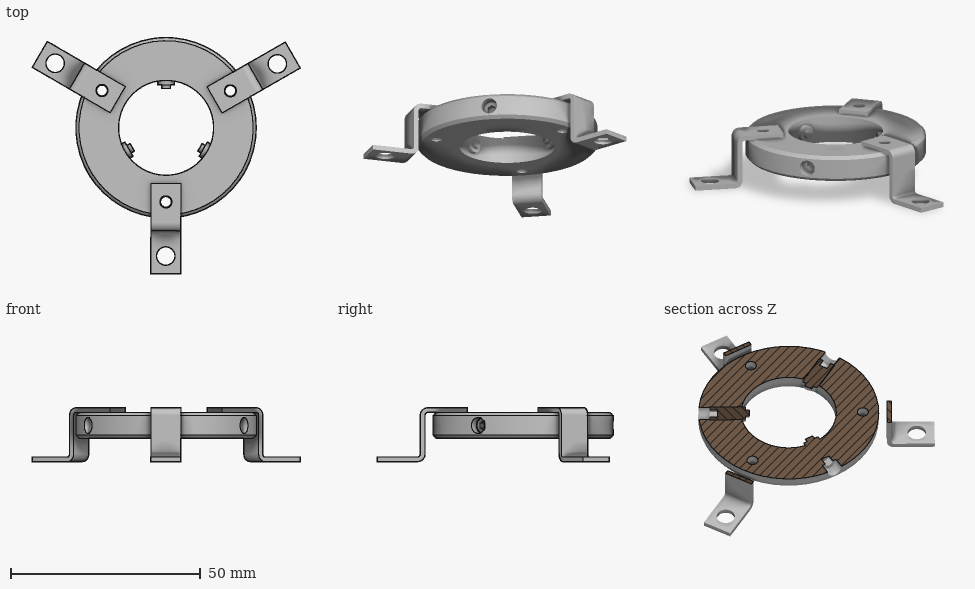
import cadquery as cq
import math

ring_radius = 23.81
bore_radius = 12.5
ring_thickness = 6.85
ring_chamfer = 0.85

bracket_count = 3
bracket_angle = -90.15
bracket_width = 7.94
bracket_height = 14.27
sheet = 1.27
inner_bend = 0.74
outer_bend = inner_bend + sheet
tab_inner_end = 14.75
wall_outer_face = 27.15
wall_inner_face = wall_outer_face - sheet
foot_outer_end = 38.54
tab_hole_radius = 19.55
tab_hole_diameter = 3.2
foot_hole_radius = 33.83
foot_hole_diameter = 4.8

ring_top = bracket_height - sheet
ring_bottom = ring_top - ring_thickness
ring_tap_diameter = 2.8

screw_axis_height = ring_bottom + ring_thickness / 2
screw_diameter = 4.45
screw_entry_diameter = 4.15
screw_dog_diameter = 2.35
screw_tip_radius = 10.3
screw_dog_length = 1.0
screw_length = 10.5
socket_across_flats = 2.2
socket_depth = 2.0
screw_outer_end = screw_tip_radius + screw_length
fixed_screw_angle = 90
loose_screw_angles = (210, 330)

pitch = 360 / bracket_count
bracket_angles = [bracket_angle + i * pitch for i in range(bracket_count)]


def turned(body, angle):
    """Turn a body about the ring axis, Z."""
    return body.rotate((0, 0, 0), (0, 0, 1), angle)


def radial_plane(distance):
    """Workplane at the screw height, facing outwards along +X, with its own X axis pointing up."""
    return cq.Workplane(
        cq.Plane(origin=(distance, 0, screw_axis_height), xDir=(0, 0, 1), normal=(1, 0, 0))
    )


def radial_rod(diameter, start, length):
    """Rod along +X at the screw height, starting at the given distance from the ring axis."""
    return radial_plane(start).circle(diameter / 2).extrude(length)


def make_screw():
    """Grub screw along +X: dog point towards the ring axis, hexagon socket outwards."""
    barrel_start = screw_tip_radius + screw_dog_length
    barrel = radial_rod(screw_diameter, barrel_start, screw_length - screw_dog_length)
    dog_point = radial_rod(screw_dog_diameter, screw_tip_radius, screw_dog_length)
    across_corners = socket_across_flats / math.cos(math.radians(30))
    socket = radial_plane(screw_outer_end).polygon(6, across_corners).extrude(-socket_depth)
    return barrel.union(dog_point).cut(socket)


def make_ring():
    """Chamfered ring with bracket fixing holes and radial screw holes; one screw is fixed in it."""
    ring = (
        cq.Workplane("XY", origin=(0, 0, ring_bottom))
        .circle(ring_radius)
        .extrude(ring_thickness)
        .edges()
        .chamfer(ring_chamfer)
    )
    bore = cq.Workplane("XY", origin=(0, 0, ring_bottom)).circle(bore_radius).extrude(ring_thickness)
    ring = ring.cut(bore)

    tapped_hole = (
        cq.Workplane("XY", origin=(tab_hole_radius, 0, ring_bottom))
        .circle(ring_tap_diameter / 2)
        .extrude(ring_thickness)
    )
    for angle in bracket_angles:
        ring = ring.cut(turned(tapped_hole, angle))

    screw_seat = radial_rod(screw_diameter, 0, screw_outer_end)
    screw_entry = radial_rod(screw_entry_diameter, 0, ring_radius)
    screw_hole = screw_seat.union(screw_entry)
    for angle in (fixed_screw_angle, *loose_screw_angles):
        ring = ring.cut(turned(screw_hole, angle))
    return ring.union(turned(make_screw(), fixed_screw_angle))


def make_bracket():
    """Bracket along +X: tab on the ring, wall down past the rim, foot outwards."""
    bracket = (
        cq.Workplane("XZ", origin=(0, bracket_width / 2, 0))
        .moveTo(tab_inner_end, ring_top)
        .lineTo(wall_inner_face - inner_bend, ring_top)
        .radiusArc((wall_inner_face, ring_top - inner_bend), inner_bend)
        .lineTo(wall_inner_face, outer_bend)
        .radiusArc((wall_inner_face + outer_bend, 0), -outer_bend)
        .lineTo(foot_outer_end, 0)
        .lineTo(foot_outer_end, sheet)
        .lineTo(wall_outer_face + inner_bend, sheet)
        .radiusArc((wall_outer_face, sheet + inner_bend), inner_bend)
        .lineTo(wall_outer_face, bracket_height - outer_bend)
        .radiusArc((wall_outer_face - outer_bend, bracket_height), -outer_bend)
        .lineTo(tab_inner_end, bracket_height)
        .close()
        .extrude(bracket_width)
    )
    tab_hole = (
        cq.Workplane("XY", origin=(tab_hole_radius, 0, ring_top))
        .circle(tab_hole_diameter / 2)
        .extrude(sheet)
    )
    foot_hole = (
        cq.Workplane("XY", origin=(foot_hole_radius, 0, 0))
        .circle(foot_hole_diameter / 2)
        .extrude(sheet)
    )
    return bracket.cut(tab_hole).cut(foot_hole)


ring = make_ring()
brackets = [turned(make_bracket(), angle) for angle in bracket_angles]
screws = [turned(make_screw(), angle) for angle in loose_screw_angles]

result = cq.Compound.makeCompound(
    [ring.val(), *[bracket.val() for bracket in brackets], *[screw.val() for screw in screws]]
)